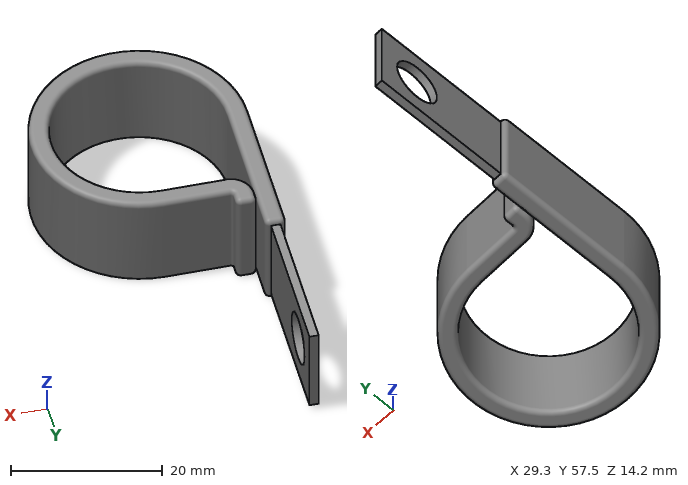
import cadquery as cq
import math

total_length = 57.55
loop_radius = 14.65
band_width = 14.2

cushion_cover = 0.75
strap_thickness = 1.25
strap_width = band_width - 2 * cushion_cover
band_thickness = strap_thickness + 2 * cushion_cover
inner_radius = loop_radius - band_thickness

leg_end_y = 21.45
tab_end_y = total_length - loop_radius
tab_x = -loop_radius + band_thickness / 2
hole_diameter = 7.15
hole_from_end = 6.3

hook_end_y = 16.8
hook_inner_radius = 0.35
hook_outer_radius = hook_inner_radius + band_thickness
contact_gap = 0.03
hook_left_x = -inner_radius + contact_gap
hook_right_x = hook_left_x + band_thickness
bend_x = hook_left_x + hook_outer_radius
bend_y = loop_radius + hook_inner_radius

diagonal = math.sqrt(0.5)


def make_cushion():
    """Curved band with every outer edge rounded by the cushion thickness."""
    outline = (
        cq.Workplane("XY")
        .workplane(offset=-band_width / 2)
        .moveTo(-loop_radius, leg_end_y)
        .lineTo(-loop_radius, 0)
        .threePointArc((0, -loop_radius), (loop_radius, 0))
        .threePointArc((loop_radius * diagonal, loop_radius * diagonal), (0, loop_radius))
        .lineTo(bend_x, loop_radius)
        .threePointArc(
            (bend_x - hook_inner_radius * diagonal, bend_y - hook_inner_radius * diagonal),
            (hook_right_x, bend_y),
        )
        .lineTo(hook_right_x, hook_end_y)
        .lineTo(hook_left_x, hook_end_y)
        .lineTo(hook_left_x, bend_y)
        .threePointArc(
            (bend_x - hook_outer_radius * diagonal, bend_y - hook_outer_radius * diagonal),
            (bend_x, inner_radius),
        )
        .lineTo(0, inner_radius)
        .threePointArc((inner_radius * diagonal, inner_radius * diagonal), (inner_radius, 0))
        .threePointArc((0, -inner_radius), (-inner_radius, 0))
        .lineTo(-inner_radius, leg_end_y)
        .close()
    )
    band = outline.extrude(band_width)
    edges = band.faces("|Z").edges()
    for corner_x, end_y in (
        (-loop_radius, leg_end_y),
        (-inner_radius, leg_end_y),
        (hook_left_x, hook_end_y),
        (hook_right_x, hook_end_y),
    ):
        edges = edges.add(band.edges(cq.NearestToPointSelector((corner_x, end_y, 0))))
    return edges.fillet(cushion_cover)


def make_contact_pad():
    """Thin pad joining the flat of the hook to the leg."""
    pad_length = hook_end_y - cushion_cover - bend_y
    return cq.Workplane("XY").box(cushion_cover, pad_length, strap_width).translate(
        (-inner_radius, bend_y + pad_length / 2, 0)
    )


def make_tab():
    """Bare end of the strap, rooted in the leg, with its mounting hole."""
    tab = cq.Workplane("XY").box(strap_thickness, tab_end_y, strap_width).translate(
        (tab_x, tab_end_y / 2, 0)
    )
    hole = (
        cq.Workplane("YZ", origin=(tab_x, tab_end_y - hole_from_end, 0))
        .circle(hole_diameter / 2)
        .extrude(strap_thickness, both=True)
    )
    return tab.cut(hole)


result = make_cushion().union(make_contact_pad()).union(make_tab())